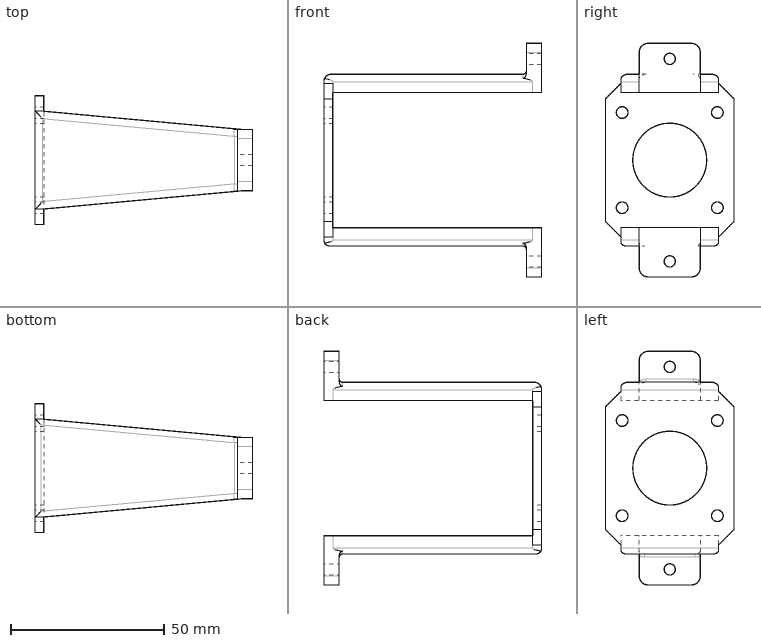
import cadquery as cq

plate_width = 42.0
plate_height = 50.0
plate_thickness = 3.0
corner_chamfer = 5.0
bore_diameter = 24.0
motor_hole_spacing = 31.0
motor_hole_diameter = 3.7

length = 71.0
arm_outer_height = 56.1
arm_thickness = 6.0
arm_outer_z = arm_outer_height / 2
arm_inner_z = arm_outer_z - arm_thickness
root_width = plate_width - 2 * corner_chamfer
upper_edge_radius = 2.5
lower_edge_radius = 2.0

total_height = 76.2
tab_width = 20.0
tab_thickness = 5.0
tab_corner_radius = 3.0
tab_hole_diameter = 3.6
tab_hole_z = 33.0
tab_x = length - tab_thickness
inner_corner_radius = 1.0
taper_end_x = length - 3.0


def make_plate():
    """Chamfered plate, before the holes are cut."""
    plate = cq.Workplane("XY").box(
        plate_thickness, plate_width, plate_height, centered=(False, True, True)
    )
    return plate.edges("|X").chamfer(corner_chamfer)


def make_arm(edge_radius):
    """Tapered arm above the bore with its outer edges rounded."""
    slope = (root_width - tab_width) / 2 / (taper_end_x - plate_thickness)
    start_half_width = root_width / 2 + slope * plate_thickness
    end_half_width = tab_width / 2 - slope * (length - taper_end_x)
    outline = [
        (0, -start_half_width),
        (length, -end_half_width),
        (length, end_half_width),
        (0, start_half_width),
    ]
    arm = (
        cq.Workplane("XY")
        .workplane(offset=arm_inner_z)
        .polyline(outline)
        .close()
        .extrude(arm_thickness)
    )
    arm = arm.faces(">Z").edges("not >X").fillet(edge_radius)
    root_limit = cq.Workplane("XY").box(
        length, root_width, total_height, centered=(False, True, True)
    )
    return arm.intersect(root_limit)


def make_tab():
    """Tab above the bore with rounded outer corners, before its hole is cut."""
    tab = cq.Workplane("XY").box(
        tab_thickness, tab_width, total_height / 2 - arm_inner_z, centered=(False, True, False)
    )
    tab = tab.edges("|X and >Z").fillet(tab_corner_radius)
    return tab.translate((tab_x, 0, arm_inner_z))


def make_bracket(edge_radius):
    """Arm and tab joined, with a rounded inner corner and a mounting hole."""
    bracket = make_arm(edge_radius).union(make_tab())
    selection_margin = 0.1
    corner = cq.selectors.BoxSelector(
        (tab_x - selection_margin, -tab_width, arm_outer_z - edge_radius),
        (tab_x + selection_margin, tab_width, arm_outer_z + selection_margin),
    )
    bracket = bracket.edges(corner).fillet(inner_corner_radius)
    hole = (
        cq.Workplane("YZ", origin=(tab_x, 0, tab_hole_z))
        .circle(tab_hole_diameter / 2)
        .extrude(tab_thickness)
    )
    return bracket.cut(hole)


def make_plate_holes():
    """Central bore and four motor screw holes."""
    bore = cq.Workplane("YZ").circle(bore_diameter / 2).extrude(plate_thickness)
    screws = (
        cq.Workplane("YZ")
        .rect(motor_hole_spacing, motor_hole_spacing, forConstruction=True)
        .vertices()
        .circle(motor_hole_diameter / 2)
        .extrude(plate_thickness)
    )
    return bore.union(screws)


upper_bracket = make_bracket(upper_edge_radius)
lower_bracket = make_bracket(lower_edge_radius).mirror("XY")
result = make_plate().union(upper_bracket).union(lower_bracket).cut(make_plate_holes())